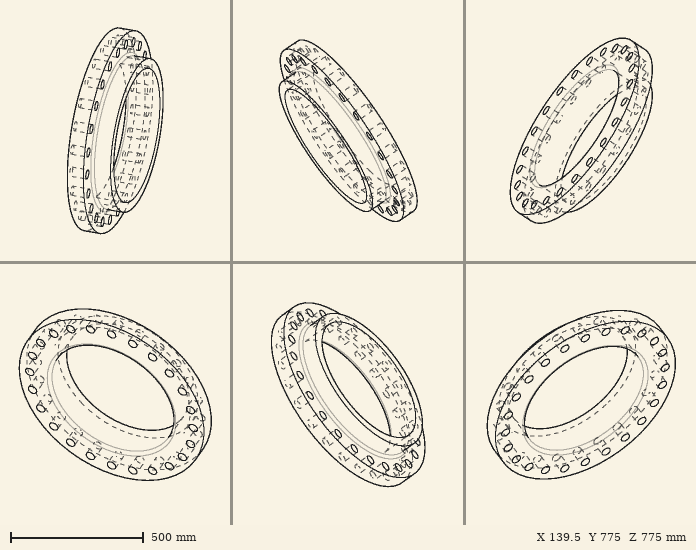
import cadquery as cq

outer_diameter = 775.0
total_length = 139.5

flange_thickness = 64.0
hub_diameter = 587.0
root_fillet = 11.0

bore_diameter = 513.0
bore_round = 13.0

hole_count = 24
hole_diameter = 35.0
bolt_circle_diameter = 685.5


def make_ring():
    """Flange at X = 0 with a smaller hub behind it, filleted where they meet."""
    flange = cq.Workplane("YZ").circle(outer_diameter / 2).extrude(flange_thickness)
    ring = flange.faces(">X").workplane().circle(hub_diameter / 2).extrude(total_length - flange_thickness)
    root_edge = cq.selectors.RadiusNthSelector(0)
    return ring.faces("<X[1]").edges(root_edge).fillet(root_fillet)


def cut_bore(body):
    """Through bore, rounded at its flange end."""
    bore = cq.Workplane("YZ").circle(bore_diameter / 2).extrude(total_length)
    entry_edge = cq.selectors.RadiusNthSelector(0)
    return body.cut(bore).faces("<X").edges(entry_edge).fillet(bore_round)


def make_bolt_holes():
    """Drills spaced evenly round the flange, one on the +Y axis."""
    return (
        cq.Workplane("YZ")
        .polarArray(bolt_circle_diameter / 2, 0, 360, hole_count)
        .circle(hole_diameter / 2)
        .extrude(flange_thickness)
    )


result = cut_bore(make_ring()).cut(make_bolt_holes())